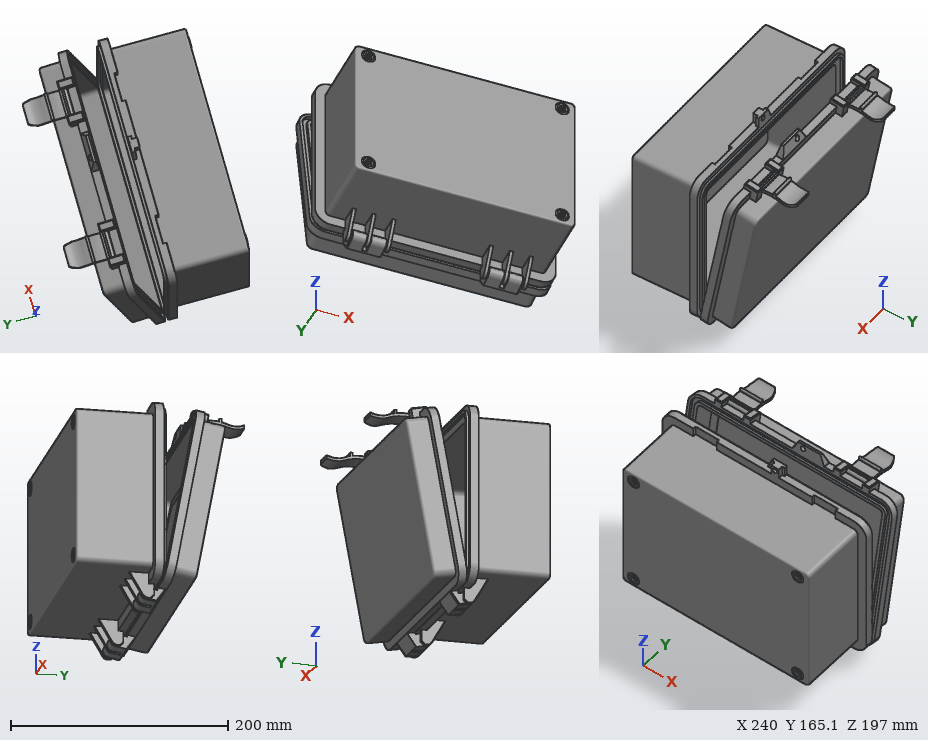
import cadquery as cq
import math


FLANGE_W = 240.0
FLANGE_H = 170.5
FLANGE_R = 15.0
FLANGE_TOP = FLANGE_H / 2

BASE_FLANGE_T = 8.5
BASE_INSET = 10.3
BASE_DEPTH = 80.6
BASE_R = 4.8
BASE_EDGE_R = 2.0
BASE_WALL = 4.8
LIP_INSET = 4.5
LIP_T = 3.0
LIP_H = 2.6
LIP_R = 12.0

FOOT_X = 96.5
FOOT_Z = 64.8
FOOT_R = 6.7
FOOT_H = 0.7
FOOT_FLAT_R = 5.0
FOOT_RECESS_R = 3.0
FOOT_RECESS_DEPTH = 2.5
FOOT_HOLE_R = 1.0
FOOT_HOLE_DEPTH = 3.4

TAB_TOP = 96.2
TAB_T = 3.4
TAB_LEFT = 0.0
TAB_SLOPE = 4.5
TAB_RIGHT = 20.0
TAB_ROOT_DEPTH = 2.5
BLOCK_LEFT = 8.0
BLOCK_RIGHT = 17.0
LOCK_X = (BLOCK_LEFT + BLOCK_RIGHT) / 2
LOCK_Z = 91.5
LOCK_R = 2.6

LID_FLANGE_T = 8.2
LID_DEPTH = 30.0
LID_INSET = 8.2
LID_R = 6.5
LID_EDGE_R = 2.5
CAVITY_INSET = 11.3
CAVITY_R = 4.8
CAVITY_DEPTH = 25.0
PAD_INSET = 20.0
PAD_H = 0.7
GROOVE_INSET = 3.0
GROOVE_W = 4.8
GROOVE_DEPTH = 3.0
LID_TAB_LEFT = 0.5
LID_TAB_RIGHT = 38.2
LID_TAB_SIDE_SLOPE = 5.8
LID_TAB_TOP_T = 2.6

HINGE_X = 68.5
HINGE_Y = -9.0
HINGE_Z = -93.0
HINGE_R = 6.0
OPEN_ANGLE = 10.4
RIB_T = 3.4
RIB_PITCH = 20.0
RIB_FRONT_Y = -3.4
RIB_HEEL_Y = -26.5
KNUCKLE_END = 17.0
KNUCKLE_GAP = 4.8
ARM_CHAMFER = 1.0
WEB_FRONT_Y = -0.7
ARM_CORNER_Y = 1.7

LATCH_X = 69.8
LATCH_W = 25.7
LUG_W = 8.2
LUG_TOP = 90.7
LUG_DEPTH = 15.4
LUG_CHAMFER = 1.0
PIVOT_Y = 12.0
PIVOT_Z = 85.0
BARREL_R = 3.4
NOTCH_W = 27.4
NOTCH_DEPTH = 3.4

BLADE_ROOT_TOP = 1.0
BLADE_ROOT_BOTTOM = -2.0
BLADE_CREST_Y = 10.0
BLADE_CREST_TOP = 2.2
BLADE_CREST_BOTTOM = -1.0
BLADE_BEND_Y = 24.0
BLADE_BEND_TOP = -0.7
BLADE_BEND_BOTTOM = -3.5
BLADE_DIP_Y = 31.7
BLADE_DIP_TOP = -2.0
BLADE_DIP_BOTTOM = -4.8
BLADE_TIP_Y = 40.0
BLADE_TIP_TOP = 1.0
BLADE_TIP_BOTTOM = -2.5
GRIP_Y = 17.0
GRIP_W = 2.5
GRIP_TOP = 4.5
HOOK_Y = 1.0
HOOK_W = 2.0
HOOK_TOP = 3.5
ROOT_BLOCK_END = 4.3
ROOT_BLOCK_TOP = 2.6
TIP_CUT = [(0, 3.4), (2.2, 2.0), (8.6, 0)]


def box_between(x0, x1, y0, y1, z0, z1):
    """Axis-aligned block between two opposite corners."""
    return cq.Workplane("XY").box(x1 - x0, y1 - y0, z1 - z0, centered=False).translate((x0, y0, z0))


def rounded_slab(inset, radius, y0, y1):
    """Slab set in from the flange outline, with rounded corners, between two Y planes."""
    return (
        cq.Workplane("XZ", origin=(0, y1, 0))
        .rect(FLANGE_W - 2 * inset, FLANGE_H - 2 * inset)
        .extrude(y1 - y0)
        .edges("|Y")
        .fillet(radius)
    )


def y_cylinder(x, z, radius, y0, y1):
    """Cylinder along Y."""
    return cq.Workplane("XZ", origin=(x, y1, z)).circle(radius).extrude(y1 - y0)


def x_prism(profile, x_mid, width):
    """Extrude a Y-Z profile along X, centred on x_mid."""
    return profile.extrude(width).translate((x_mid - width / 2, 0, 0))


def tangent_point(y, z, side):
    """Point on the hinge circle where a line from (y, z) touches it."""
    dy = y - HINGE_Y
    dz = z - HINGE_Z
    angle = math.atan2(dz, dy) + side * math.acos(HINGE_R / math.hypot(dy, dz))
    return HINGE_Y + HINGE_R * math.cos(angle), HINGE_Z + HINGE_R * math.sin(angle)


def swing_open(body):
    """Turn a body of the closed lid about the hinge axis."""
    return body.rotate((0, HINGE_Y, HINGE_Z), (1, HINGE_Y, HINGE_Z), -OPEN_ANGLE)


def swung_point(y, z):
    """Y and Z of a point of the closed lid after the lid is opened."""
    angle = math.radians(OPEN_ANGLE)
    dy = y - HINGE_Y
    dz = z - HINGE_Z
    return (
        HINGE_Y + dy * math.cos(angle) + dz * math.sin(angle),
        HINGE_Z - dy * math.sin(angle) + dz * math.cos(angle),
    )


def base_foot(x, z):
    """Round foot with a sloped rim."""
    return (
        cq.Workplane("XZ", origin=(x, -BASE_DEPTH, z))
        .circle(FOOT_R)
        .workplane(offset=FOOT_H)
        .circle(FOOT_FLAT_R)
        .loft()
    )


def foot_bore(x, z):
    """Recess in the face of a foot with a small hole in its floor."""
    face = -BASE_DEPTH - FOOT_H
    recess = y_cylinder(x, z, FOOT_RECESS_R, face, face + FOOT_RECESS_DEPTH)
    return recess.union(y_cylinder(x, z, FOOT_HOLE_R, face, face + FOOT_HOLE_DEPTH))


def hinge_rib(x):
    """Base hinge rib: a gusset under the box that ends in a round eye."""
    box_bottom = BASE_INSET - FLANGE_TOP
    heel = tangent_point(RIB_HEEL_Y, box_bottom, 1)
    toe = (HINGE_Y, HINGE_Z - HINGE_R)
    mid_angle = math.atan2(heel[1] + toe[1] - 2 * HINGE_Z, heel[0] + toe[0] - 2 * HINGE_Y)
    mid = (HINGE_Y + HINGE_R * math.cos(mid_angle), HINGE_Z + HINGE_R * math.sin(mid_angle))
    front_chamfer = RIB_FRONT_Y - HINGE_Y - HINGE_R * math.tan(math.pi / 8)
    profile = (
        cq.Workplane("YZ")
        .moveTo(RIB_FRONT_Y, box_bottom)
        .lineTo(RIB_FRONT_Y, toe[1] + front_chamfer)
        .lineTo(RIB_FRONT_Y - front_chamfer, toe[1])
        .lineTo(*toe)
        .threePointArc(mid, heel)
        .lineTo(RIB_HEEL_Y, box_bottom)
        .close()
    )
    return x_prism(profile, x, RIB_T)


def lock_tab():
    """Padlock tab on the top edge of the base flange, backed by a block."""
    root = FLANGE_TOP - TAB_ROOT_DEPTH
    plate = (
        cq.Workplane("XZ")
        .moveTo(TAB_LEFT, root)
        .lineTo(TAB_LEFT, FLANGE_TOP)
        .lineTo(TAB_LEFT + TAB_SLOPE, TAB_TOP)
        .lineTo(TAB_RIGHT, TAB_TOP)
        .lineTo(TAB_RIGHT, root)
        .close()
        .extrude(TAB_T)
    )
    block = box_between(BLOCK_LEFT, BLOCK_RIGHT, -BASE_FLANGE_T, 0, root, TAB_TOP)
    return plate.union(block).cut(y_cylinder(LOCK_X, LOCK_Z, LOCK_R, -BASE_FLANGE_T, 0))


def make_base():
    """Hollow base with its flange, sealing lip, lock tab, hinge ribs and feet."""
    tub = rounded_slab(BASE_INSET, BASE_R, -BASE_DEPTH, 0).faces("<Y").edges().fillet(BASE_EDGE_R)
    flange = rounded_slab(0, FLANGE_R, -BASE_FLANGE_T, 0)
    box_top = FLANGE_TOP - BASE_INSET
    for x in (-LATCH_X, LATCH_X):
        notch = box_between(
            x - NOTCH_W / 2, x + NOTCH_W / 2,
            -BASE_FLANGE_T, -BASE_FLANGE_T + NOTCH_DEPTH,
            box_top, FLANGE_TOP,
        )
        flange = flange.cut(notch)
    lip = rounded_slab(LIP_INSET, LIP_R, 0, LIP_H)
    lip = lip.cut(rounded_slab(LIP_INSET + LIP_T, LIP_R - LIP_T, 0, LIP_H))
    base = tub.union(flange).union(lip).union(lock_tab())
    for x in (-HINGE_X, HINGE_X):
        for step in (-1, 0, 1):
            base = base.union(hinge_rib(x + step * RIB_PITCH))
    cavity_inset = BASE_INSET + BASE_WALL
    base = base.cut(rounded_slab(cavity_inset, BASE_R, -BASE_DEPTH + BASE_WALL, 0))
    for x in (-FOOT_X, FOOT_X):
        for z in (-FOOT_Z, FOOT_Z):
            base = base.union(base_foot(x, z)).cut(foot_bore(x, z))
    return base


def hinge_arm(x):
    """Lid hinge arm: two knuckles on the hinge axis, joined by a web in front of the middle rib."""
    bottom = HINGE_Z - HINGE_R
    top = HINGE_Z + HINGE_R
    profile = (
        cq.Workplane("YZ")
        .moveTo(LID_FLANGE_T, -FLANGE_TOP)
        .lineTo(ARM_CORNER_Y, bottom)
        .lineTo(HINGE_Y, bottom)
        .threePointArc((HINGE_Y - HINGE_R, HINGE_Z), (HINGE_Y, top))
        .lineTo(0, top)
        .lineTo(0, -FLANGE_TOP)
        .close()
    )
    arm = x_prism(profile, x, 2 * KNUCKLE_END)
    below_top = cq.selectors.BoxSelector(
        (-FLANGE_W, -FLANGE_W, bottom - 2.5), (FLANGE_W, FLANGE_W, top - 2.5)
    )
    arm = arm.faces("<X" if x < 0 else ">X").edges(below_top).chamfer(ARM_CHAMFER)
    rib_slot = box_between(
        x - KNUCKLE_GAP / 2, x + KNUCKLE_GAP / 2,
        HINGE_Y - HINGE_R, WEB_FRONT_Y,
        bottom, top,
    )
    return arm.cut(rib_slot)


def lid_lug(x):
    """Block beside a latch, standing on the lid's top side."""
    lug = box_between(x - LUG_W / 2, x + LUG_W / 2, 0, LUG_DEPTH, FLANGE_TOP - LID_INSET, LUG_TOP)
    return lug.faces(">Z").edges().chamfer(LUG_CHAMFER)


def lid_lock_tab():
    """Tapered tab on the lid flange with a padlock hole."""
    foot_mid = (LID_TAB_LEFT + LID_TAB_RIGHT) / 2
    foot_w = LID_TAB_RIGHT - LID_TAB_LEFT
    rise = TAB_TOP - FLANGE_TOP
    tab = (
        cq.Workplane("XY", origin=(foot_mid, 0, FLANGE_TOP))
        .center(0, LID_FLANGE_T / 2)
        .rect(foot_w, LID_FLANGE_T)
        .workplane(offset=rise)
        .center(0, (LID_TAB_TOP_T - LID_FLANGE_T) / 2)
        .rect(foot_w - 2 * LID_TAB_SIDE_SLOPE, LID_TAB_TOP_T)
        .loft()
    )
    return tab.cut(y_cylinder(LOCK_X, LOCK_Z, LOCK_R, 0, LID_FLANGE_T))


def make_lid():
    """Hollow lid with its flange, gasket groove, lock tab, hinge arms and latch lugs, swung open."""
    shell = rounded_slab(LID_INSET, LID_R, 0, LID_DEPTH).faces(">Y").edges().fillet(LID_EDGE_R)
    lid = shell.union(rounded_slab(0, FLANGE_R, 0, LID_FLANGE_T)).union(lid_lock_tab())
    for x in (-HINGE_X, HINGE_X):
        lid = lid.union(hinge_arm(x))
    for x in (-LATCH_X, LATCH_X):
        for side in (-1, 1):
            lid = lid.union(lid_lug(x + side * (LATCH_W + LUG_W) / 2))
    groove = rounded_slab(GROOVE_INSET, FLANGE_R - GROOVE_INSET, 0, GROOVE_DEPTH)
    groove_inner = GROOVE_INSET + GROOVE_W
    groove = groove.cut(rounded_slab(groove_inner, FLANGE_R - groove_inner, 0, GROOVE_DEPTH))
    cavity = rounded_slab(CAVITY_INSET, CAVITY_R, 0, CAVITY_DEPTH)
    pad = rounded_slab(PAD_INSET, CAVITY_R, CAVITY_DEPTH - PAD_H, CAVITY_DEPTH)
    return swing_open(lid.cut(groove).cut(cavity.cut(pad)))


def latch_ridge(y, width, top):
    """Ridge across the latch with a rounded crest."""
    ridge = box_between(-LATCH_W / 2, LATCH_W / 2, y - width / 2, y + width / 2, 0, top)
    return ridge.edges("|X and >Z").fillet(width / 3)


def latch_blade():
    """Thin S-curved blade from the pivot to the tip, with its tip corners trimmed."""
    profile = (
        cq.Workplane("YZ")
        .moveTo(0, BLADE_ROOT_TOP)
        .threePointArc((BLADE_CREST_Y, BLADE_CREST_TOP), (BLADE_BEND_Y, BLADE_BEND_TOP))
        .threePointArc((BLADE_DIP_Y, BLADE_DIP_TOP), (BLADE_TIP_Y, BLADE_TIP_TOP))
        .lineTo(BLADE_TIP_Y, BLADE_TIP_BOTTOM)
        .threePointArc((BLADE_DIP_Y, BLADE_DIP_BOTTOM), (BLADE_BEND_Y, BLADE_BEND_BOTTOM))
        .threePointArc((BLADE_CREST_Y, BLADE_CREST_BOTTOM), (0, BLADE_ROOT_BOTTOM))
        .close()
    )
    plan_half = [(LATCH_W / 2 - cut, BLADE_TIP_Y - back) for back, cut in TIP_CUT]
    plan = plan_half + [(LATCH_W / 2, 0)]
    plan += [(-x, y) for x, y in reversed(plan)]
    height = 2 * (BLADE_CREST_TOP - BLADE_DIP_BOTTOM)
    outline = cq.Workplane("XY", origin=(0, 0, -height / 2)).polyline(plan).close().extrude(height)
    return x_prism(profile, 0, LATCH_W).intersect(outline)


def make_latch(x):
    """Latch hung between two lugs: a barrel, a stepped root, a curved blade and two ridges."""
    barrel = x_prism(cq.Workplane("YZ").circle(BARREL_R), 0, LATCH_W)
    root_block = box_between(-LATCH_W / 2, LATCH_W / 2, 0, ROOT_BLOCK_END, 0, ROOT_BLOCK_TOP)
    hook = latch_ridge(HOOK_Y, HOOK_W, HOOK_TOP)
    grip = latch_ridge(GRIP_Y, GRIP_W, GRIP_TOP)
    latch = latch_blade().union(barrel).union(root_block).union(hook).union(grip)
    return latch.translate((x, *swung_point(PIVOT_Y, PIVOT_Z)))


base = make_base()
lid = make_lid()
latches = [make_latch(x) for x in (-LATCH_X, LATCH_X)]

result = cq.Compound.makeCompound([base.val(), lid.val(), *[latch.val() for latch in latches]])